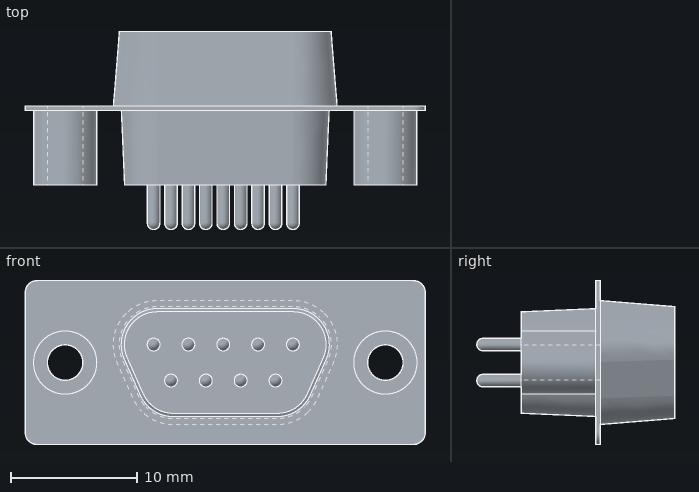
import cadquery as cq


flange_width = 31.7
flange_height = 13.0
flange_thickness = 0.38
flange_corner_radius = 0.95

standoff_spacing = 25.35
standoff_diameter = 5.0
standoff_hole_diameter = 2.8

housing_depth = 5.9
corner_centers_height = 2.85
top_corner_centers_width = 10.77
bottom_corner_centers_width = 8.25
pin_side_base_radius = 2.85
pin_side_tip_radius = 2.6
mating_side_base_radius = 3.5
mating_side_tip_radius = 3.0

pin_diameter = 1.0
pin_length = 3.52
pin_pitch = 2.75
pin_row_spacing = 2.85
pin_center_x = -0.15
top_row_pins = 5
bottom_row_pins = 4

pin_radius = pin_diameter / 2
pin_shank_length = pin_length - pin_radius


def facing_front(y):
    """XZ workplane at the given Y, with its normal toward -Y."""
    return cq.Workplane("XZ", origin=(0, y, 0))


def make_flange():
    return (
        facing_front(flange_thickness)
        .rect(flange_width, flange_height)
        .extrude(flange_thickness)
        .edges("|Y")
        .fillet(flange_corner_radius)
    )


def d_outline(y, corner_radius):
    """Rounded D outline at the given Y."""
    half_top = top_corner_centers_width / 2
    half_bottom = bottom_corner_centers_width / 2
    half_height = corner_centers_height / 2
    corner_centers = [
        (-half_top, half_height),
        (-half_bottom, -half_height),
        (half_bottom, -half_height),
        (half_top, half_height),
    ]
    return facing_front(y).polyline(corner_centers).close().offset2D(corner_radius).val()


def make_housing(base_y, tip_y, base_radius, tip_radius):
    """Solid D-shaped housing narrowing from base to tip."""
    outlines = [d_outline(base_y, base_radius), d_outline(tip_y, tip_radius)]
    return cq.Workplane(cq.Solid.makeLoft(outlines, True))


def at_standoffs(y):
    half_spacing = standoff_spacing / 2
    return facing_front(y).pushPoints([(-half_spacing, 0), (half_spacing, 0)])


def pin_row(count, z):
    first_x = pin_center_x - (count - 1) * pin_pitch / 2
    return [(first_x + i * pin_pitch, z) for i in range(count)]


def make_pins():
    """Round pins on the housing tip, each with a hemispherical end."""
    half_row = pin_row_spacing / 2
    centers = pin_row(top_row_pins, half_row) + pin_row(bottom_row_pins, -half_row)
    shanks = facing_front(-housing_depth).pushPoints(centers).circle(pin_radius).extrude(pin_shank_length)
    ends = facing_front(-housing_depth - pin_shank_length).pushPoints(centers).sphere(pin_radius)
    return shanks.union(ends)


pin_side_housing = make_housing(0, -housing_depth, pin_side_base_radius, pin_side_tip_radius)
mating_side_housing = make_housing(
    flange_thickness,
    flange_thickness + housing_depth,
    mating_side_base_radius,
    mating_side_tip_radius,
)
standoffs = at_standoffs(0).circle(standoff_diameter / 2).extrude(housing_depth)
standoff_holes = (
    at_standoffs(flange_thickness)
    .circle(standoff_hole_diameter / 2)
    .extrude(flange_thickness + housing_depth)
)

result = (
    make_flange()
    .union(pin_side_housing)
    .union(mating_side_housing)
    .union(standoffs)
    .cut(standoff_holes)
    .union(make_pins())
)